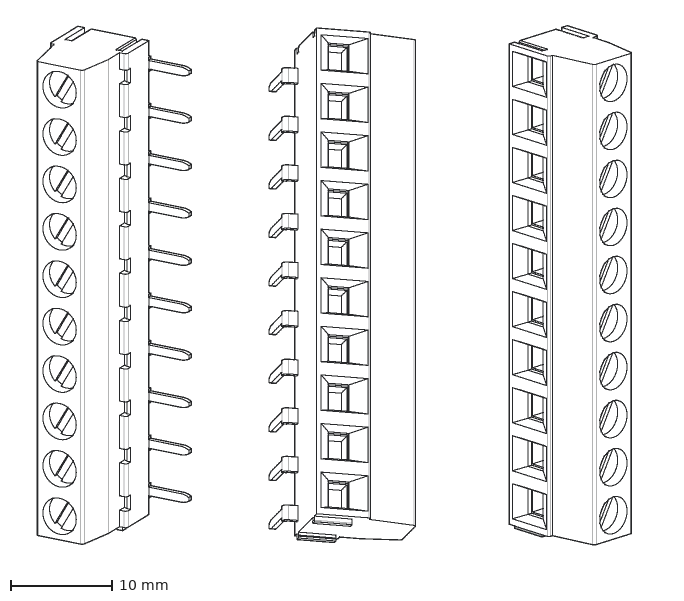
import cadquery as cq


total_height = 50.6
total_width = 12.05
total_depth = 12.1

poles = 10
rail_height = 0.6
body_height = total_height - rail_height
pitch = body_height / poles
body_width = 8.1
body_depth = 10.6
wire_ledge_y = 5.0
wire_ledge_x = 0.5
pin_ledge_y = 6.15
pin_ledge_x = 7.3
pin_taper_y = 4.0
screw_face_start = 1.35
screw_face_end = 6.65
edge_radius = 0.3
wire_ledge_radius = 0.2

pole_center = pitch / 2

screw_x = (screw_face_start + screw_face_end) / 2
screw_diameter = 3.8
screw_recess = 1.3
driver_slot_width = 0.8
driver_slot_depth = 0.4
driver_slot_angle = 60.0

funnel_height = 3.65
funnel_back_gap = 0.45
funnel_front_gap = 5.25
funnel_depth = 1.1
throat_height = 2.75
throat_back_gap = 1.5
throat_front_gap = 3.65
throat_depth = 0.5
clamp_step_y = 0.1
clamp_step_z = 0.15
clamp_depth = 2.0

notch_height = 1.5
notch_depth = 0.75
notch_slope_width = 0.4
notch_slope_depth = 0.2

pin_offset = 0.5
pin_center = pole_center - pin_offset
pin_thickness = 0.5
leg_width = 1.5
leg_x = 6.8
leg_embed = 0.5
shoulder_x = 7.45
pin_width = 0.9
pin_tip_start = 11.15
pin_tip_width = 0.4

rail_length = 3.85
rail_width = 0.6
bead_size = 0.15
wire_rail_x = 0.75
wire_rail_flare = 0.1
pin_rail_x = pin_ledge_x


def make_housing():
    housing = (
        cq.Workplane("XY")
        .moveTo(screw_face_start, 0)
        .lineTo(screw_face_end, 0)
        .lineTo(pin_ledge_x, pin_taper_y)
        .lineTo(pin_ledge_x, pin_ledge_y)
        .lineTo(body_width, pin_ledge_y)
        .lineTo(body_width, body_depth)
        .lineTo(0, body_depth)
        .lineTo(0, wire_ledge_y)
        .lineTo(wire_ledge_x, wire_ledge_y)
        .close()
        .extrude(body_height)
    )
    rounded_corners = [
        (screw_face_start, 0, edge_radius),
        (screw_face_end, 0, edge_radius),
        (0, wire_ledge_y, wire_ledge_radius),
        (body_width, pin_ledge_y, edge_radius),
    ]
    for x, y, radius in rounded_corners:
        corner_edge = cq.selectors.NearestToPointSelector((x, y, body_height / 2))
        housing = housing.edges(corner_edge).fillet(radius)
    return housing


def make_screw_recess(z):
    """Round recess down to the screw head, with the driver slot in its floor."""
    recess = (
        cq.Workplane("XZ", origin=(screw_x, 0, z))
        .circle(screw_diameter / 2)
        .extrude(-screw_recess)
    )
    slot = (
        cq.Workplane("XZ", origin=(screw_x, screw_recess, z))
        .transformed(rotate=(0, 0, driver_slot_angle))
        .rect(screw_diameter, driver_slot_width)
        .extrude(-driver_slot_depth)
    )
    head = (
        cq.Workplane("XZ", origin=(screw_x, 0, z))
        .circle(screw_diameter / 2)
        .extrude(-screw_recess - driver_slot_depth)
    )
    return recess.union(slot.intersect(head))


def make_wire_entry(z):
    funnel_y = body_depth - (funnel_back_gap + funnel_front_gap) / 2
    throat_y = body_depth - (throat_back_gap + throat_front_gap) / 2
    throat_size = throat_front_gap - throat_back_gap
    funnel = (
        cq.Workplane("YZ", origin=(0, funnel_y, z))
        .rect(funnel_front_gap - funnel_back_gap, funnel_height)
        .workplane(offset=funnel_depth)
        .center(throat_y - funnel_y, 0)
        .rect(throat_size, throat_height)
        .loft(ruled=True)
    )
    throat = (
        cq.Workplane("YZ", origin=(funnel_depth, throat_y, z))
        .rect(throat_size, throat_height)
        .extrude(throat_depth)
    )
    clamp = (
        cq.Workplane("YZ", origin=(funnel_depth + throat_depth, throat_y, z))
        .rect(throat_size - 2 * clamp_step_y, throat_height - 2 * clamp_step_z)
        .extrude(clamp_depth)
    )
    return funnel.union(throat).union(clamp)


def make_notch(z):
    """Notch open to the ledge and the outer side, its floor sloping deeper inward."""
    floor_y = pin_ledge_y + notch_depth
    return (
        cq.Workplane("XY", origin=(0, 0, z - notch_height / 2))
        .moveTo(pin_ledge_x, pin_ledge_y)
        .lineTo(body_width, pin_ledge_y)
        .lineTo(body_width, floor_y)
        .lineTo(pin_ledge_x + notch_slope_width, floor_y)
        .lineTo(pin_ledge_x, floor_y + notch_slope_depth)
        .close()
        .extrude(notch_height)
    )


def make_pin(z):
    """Right-angle pin: a wide leg out of the housing, bent into a narrow pin."""
    inner_y = total_depth - pin_thickness
    leg_start = body_depth - leg_embed
    leg = (
        cq.Workplane("XY", origin=(0, 0, z - leg_width / 2))
        .moveTo(leg_x, leg_start)
        .lineTo(leg_x, inner_y)
        .radiusArc((leg_x + pin_thickness, total_depth), pin_thickness)
        .lineTo(shoulder_x, total_depth)
        .lineTo(shoulder_x, inner_y)
        .lineTo(leg_x + pin_thickness, inner_y)
        .lineTo(leg_x + pin_thickness, leg_start)
        .close()
        .extrude(leg_width)
    )
    tip_length = total_width - pin_tip_start
    tip_drop = (pin_width - pin_tip_width) / 2
    tip_radius = (tip_length**2 + tip_drop**2) / (2 * tip_drop)
    blade = (
        cq.Workplane("XZ", origin=(0, total_depth, z))
        .moveTo(shoulder_x, -pin_width / 2)
        .lineTo(shoulder_x, pin_width / 2)
        .lineTo(pin_tip_start, pin_width / 2)
        .radiusArc((total_width, pin_tip_width / 2), tip_radius)
        .lineTo(total_width, -pin_tip_width / 2)
        .radiusArc((pin_tip_start, -pin_width / 2), tip_radius)
        .close()
        .extrude(pin_thickness)
    )
    return leg.union(blade)


def make_rail(outer_x, inward, outer_flare):
    """Rail below the housing with a snap bead on its inner side.

    inward is the X direction (+1 or -1) from the outer to the inner side. The outer
    side leans out by outer_flare between its root and the level of the bead.
    """
    inner_x = outer_x + inward * rail_width
    bead_z = bead_size - rail_height
    bead_x = inner_x + inward * bead_size
    return (
        cq.Workplane("XZ", origin=(0, body_depth, 0))
        .moveTo(outer_x + inward * outer_flare, 0)
        .lineTo(outer_x, bead_z)
        .lineTo(outer_x, -rail_height)
        .lineTo(inner_x, -rail_height)
        .lineTo(bead_x, bead_z)
        .lineTo(inner_x, bead_z + bead_size)
        .lineTo(inner_x, 0)
        .close()
        .extrude(rail_length)
    )


def make_groove(outer_x, inward):
    """Groove for a neighbouring rail, with a lead-in chamfer on its inner side."""
    inner_x = outer_x + inward * rail_width
    return (
        cq.Workplane("XZ", origin=(0, body_depth, body_height))
        .moveTo(outer_x, 0)
        .lineTo(outer_x, -rail_height)
        .lineTo(inner_x, -rail_height)
        .lineTo(inner_x, -bead_size)
        .lineTo(inner_x + inward * bead_size, 0)
        .close()
        .extrude(rail_length)
    )


result = make_housing()

for pole in range(poles):
    pole_base = pole * pitch
    feature_z = pole_base + pole_center
    result = result.cut(make_screw_recess(feature_z))
    result = result.cut(make_wire_entry(feature_z))
    result = result.cut(make_notch(feature_z))
    result = result.union(make_pin(pole_base + pin_center))

for outer_x, inward, outer_flare in [(wire_rail_x, 1, wire_rail_flare), (pin_rail_x, -1, 0)]:
    result = result.cut(make_groove(outer_x, inward))
    result = result.union(make_rail(outer_x, inward, outer_flare))